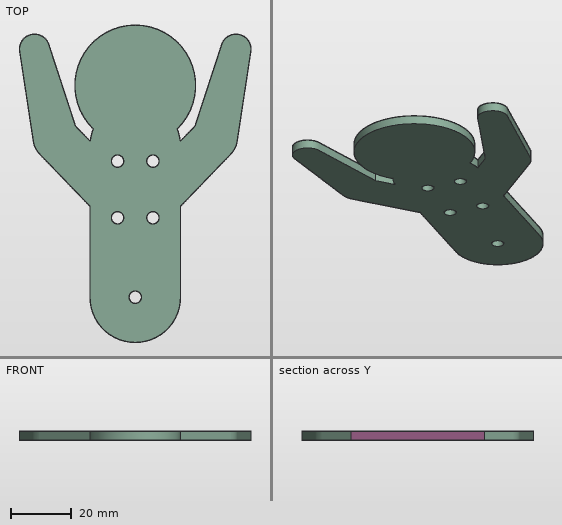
import cadquery as cq
import math


THICKNESS = 3.0

TORSO_RADIUS = 15.0
TORSO_TOP_Y = 50.0

HEAD_RADIUS = 20.0
HEAD_Y = 70.0

OVERALL_WIDTH = 76.6
HAND_RADIUS = 5.0
ELBOW_RADIUS = 7.5
HAND = (OVERALL_WIDTH / 2 - HAND_RADIUS, 82.0)
ELBOW = (26.3, 52.6)
SHOULDER = (7.5, 33.1)

HOLE_DIAMETER = 4.0
FOOT_HOLE = (0.0, 0.0)
CHEST_HOLE_X = 5.85
CHEST_HOLE_ROWS_Y = (26.25, 45.0)


def disc(centre, radius):
    """Round plate."""
    return cq.Workplane("XY").center(*centre).circle(radius).extrude(THICKNESS)


def limb(start, start_radius, end, end_radius):
    """Plate bounded by two round ends and the straight lines tangent to both."""
    length = math.dist(start, end)
    direction = math.atan2(end[1] - start[1], end[0] - start[0])
    tangent_angle = math.acos((start_radius - end_radius) / length)

    def rim_point(centre, radius, angle):
        return (centre[0] + radius * math.cos(angle), centre[1] + radius * math.sin(angle))

    left = direction + tangent_angle
    right = direction - tangent_angle
    return (
        cq.Workplane("XY")
        .moveTo(*rim_point(start, start_radius, right))
        .lineTo(*rim_point(end, end_radius, right))
        .threePointArc(
            rim_point(end, end_radius, direction),
            rim_point(end, end_radius, left),
        )
        .lineTo(*rim_point(start, start_radius, left))
        .threePointArc(
            rim_point(start, start_radius, direction + math.pi),
            rim_point(start, start_radius, right),
        )
        .close()
        .extrude(THICKNESS)
    )


def arm():
    """Right arm: an even upper arm and a forearm tapering to the hand."""
    upper_arm = limb(SHOULDER, ELBOW_RADIUS, ELBOW, ELBOW_RADIUS)
    forearm = limb(ELBOW, ELBOW_RADIUS, HAND, HAND_RADIUS)
    return upper_arm.union(forearm)


def holes():
    """Cutters for the foot hole and the four chest holes."""
    centres = [FOOT_HOLE]
    for y in CHEST_HOLE_ROWS_Y:
        for side in (-1, 1):
            centres.append((side * CHEST_HOLE_X, y))
    return cq.Workplane("XY").pushPoints(centres).circle(HOLE_DIAMETER / 2).extrude(THICKNESS)


def figure_plate():
    """The complete plate: torso, head and both arms, pierced by the holes."""
    torso = limb(FOOT_HOLE, TORSO_RADIUS, (0.0, TORSO_TOP_Y), TORSO_RADIUS)
    head = disc((0.0, HEAD_Y), HEAD_RADIUS)
    right_arm = arm()
    left_arm = right_arm.mirror("YZ")
    return torso.union(head).union(right_arm).union(left_arm).cut(holes())


plate = figure_plate()

result = cq.Compound.makeCompound([plate.solids().val()])